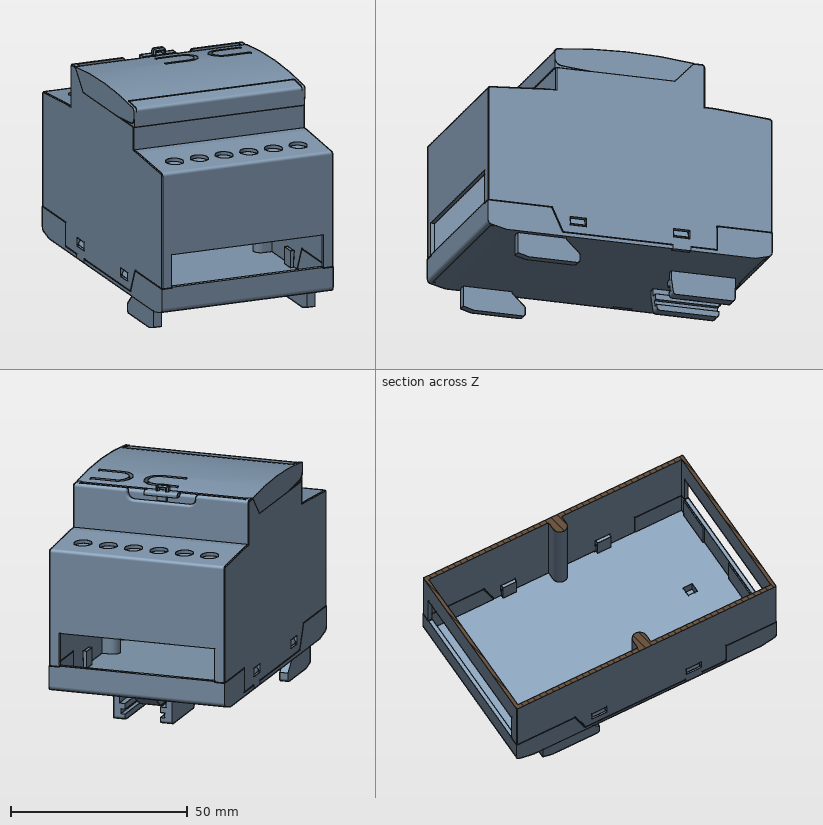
import cadquery as cq
import math

LENGTH = 85.0
WIDTH = 52.8
HALF_LENGTH = LENGTH / 2
HALF_WIDTH = WIDTH / 2
FOOT_DEPTH = 6.9
TOTAL_HEIGHT = 65.14
SIDE_WALL = 1.4
END_WALL = 1.2
INNER_HALF_WIDTH = HALF_WIDTH - SIDE_WALL
SEAM_GAP = 0.2
PICK_MARGIN = 0.1
OVERCUT = 1.0

FLOOR_TOP = 1.1
BASE_WALL_TOP = 8.2
SILL_TOP = 8.5
WINDOW_HALF_WIDTH = 23.4
WINDOW_TOP = 18.15
LEFT_WING_X = -26.1
RIGHT_WING_BOTTOM_X = 20.2
RIGHT_WING_TOP_X = 23.5
SLOPE_TOP = 1.3
LEFT_SLOPE_X = -37.5
RIGHT_SLOPE_X = 37.0
BASE_EDGE_RADIUS = 1.3

TAB_X_MIN = -18.2
TAB_X_MAX = -12.8

SNAP_CENTRES_X = (-15.45, 15.45)
SNAP_LENGTH = 4.9
SNAP_BOTTOM = 3.6
SNAP_TOP = 6.1
HOOK_LENGTH = 4.4
HOOK_BOTTOM = 4.1
HOOK_REACH = 1.2
HOOK_TONGUE = 1.0
HOOK_ROOT = FLOOR_TOP / 2

GUIDE_X_MIN = -37.5
GUIDE_X_MAX = -18.4
GUIDE_TOE_X = -19.1
GUIDE_TAPER_TOP = -FOOT_DEPTH / 3
GUIDE_OUTER_Y = 8.8
GUIDE_INNER_Y = 5.3
GUIDE_NECK_Y = 7.05
GUIDE_NOTCH_Y = 6.6
GUIDE_NECK_Z = -2.1
GUIDE_NOTCH_TOP = -3.75
GUIDE_NOTCH_BOTTOM = -5.2
RAIL_HOOK_X_MIN = 14.5
RAIL_HOOK_X_MAX = 33.1
RAIL_HOOK_INNER_Y = 22.4
RAIL_HOOK_WIDTH = 2.5
RAIL_HOOK_LIP_RUN = 4.0
RAIL_HOOK_LIP_TOP = -0.4
RAIL_HOOK_LIP_BOTTOM = -4.2
RAIL_HOOK_HEEL_RUN = 3.2
RAIL_HOOK_HEEL_RISE = 0.9
FOOT_EDGE_RADIUS = 0.9

RAMP_WIDTH = 6.4
RAMP_DEPTH = 3.5
RAMP_START_X = -36.5
RAMP_FOOT_X = -31.4
RAMP_END_X = -26.0
RAMP_HOLE_X = -29.6
RAMP_HOLE_SIZE = 3.0
RAMP_HOLE_DEPTH = 2.7

RIB_SPANS = ((2.0, 23.2), (-23.2, -12.2))
RIB_THICKNESS = 0.4
RIB_DROP = 0.3

SHOULDER_EDGE_Z = 42.4
SHOULDER_TOP_Z = 43.7
SHOULDER_BEND_X = 25.1
SHOULDER_RADIUS = 0.9
SHOULDER_THICKNESS = 2.0
TOWER_LEFT_X = -22.4
TOWER_RIGHT_X = 22.2
TOWER_FRONT_WALL = 1.35
DECK_TOP = 50.4
DECK_THICKNESS = 1.5
TOWER_TOP = 56.45
TOWER_EDGE_RADIUS = 0.95
SIDE_EDGE_CHAMFER = 0.25

SCREW_HOLE_DIAMETER = 5.1
SCREW_HOLE_DEPTH = 1.0
SCREW_HOLE_PITCH = 7.62
SCREW_HOLE_COUNT = 6
SCREW_HOLE_X = 34.55

SCOOP_HALF_WIDTH = 10.2
SCOOP_BOTTOM = 53.4
SCOOP_RADIUS = 2.0
SCOOP_EDGE_ROUND = 0.75

POST_X = 0.0
POST_Y = 22.5
POST_RADIUS = 2.2

FLAP_GAP = 0.25
COVER_FRONT_X = TOWER_LEFT_X + TOWER_FRONT_WALL + FLAP_GAP
COVER_RIGHT_X = 22.5
COVER_CORNER_X = -19.1
COVER_SLANT_X = -13.4
COVER_APEX_Z = 57.55
COVER_EDGE_Z = 56.4
COVER_WALL = 1.5
COVER_FRONT_HALF_WIDTH = 24.9
FLAP_DROP = 0.35
FLAP_STEP_X = -19.4
COVER_EDGE_RADIUS = 0.9
CROWN_RISE = COVER_APEX_Z - COVER_EDGE_Z
CROWN_RADIUS = (COVER_CORNER_X ** 2 + CROWN_RISE ** 2) / (2 * CROWN_RISE)

U_CENTRE_X = -12.65
U_OUTER_RADIUS = 4.05
U_SLOT_WIDTH = 1.1
U_SPANS = ((12.1, 23.4), (8.3, -2.9))

GRIP_X_MIN = 16.8
GRIP_HALF_WIDTH = 25.5
GRIP_DEPTH = 0.2

RELIEF_DEPTH = 0.15
RELIEF_START_X = 11.8
RELIEF_BEND_X = 20.2
RELIEF_BEND_Z = 51.1
RELIEF_END_Z = 52.8

LATCH_LEFT_X = -22.7
LATCH_HALF_WIDTH = 5.0
LATCH_TOP = 56.5
LATCH_BOTTOM = 55.3
LATCH_EDGE_RADIUS = 0.7
STEM_HALF_WIDTH = 1.4
STEM_BOTTOM = 53.8
STEM_LEFT_X = -21.9
EYE_X_MIN = -21.7
EYE_X_MAX = -19.7
EYE_HALF_WIDTH = 1.85
EYE_TOP = TOTAL_HEIGHT - FOOT_DEPTH
EYE_RADIUS = 0.8
EYE_BEVEL = 0.4
EYE_HOLE_HALF_WIDTH = 1.2
EYE_HOLE_TOP = 57.6


def block(x_min, x_max, y_min, y_max, z_min, z_max):
    size = (x_max - x_min, y_max - y_min, z_max - z_min)
    return cq.Workplane("XY").box(*size, centered=False).translate((x_min, y_min, z_min))


def side_profile(points):
    return cq.Workplane("XZ").polyline(points).close()


def across(profile, y_min, y_max):
    """Extrude an XZ profile from y_min to y_max."""
    return profile.extrude(y_min - y_max).translate((0, y_min, 0))


def both_sides(shape):
    """The shape together with its mirror image about the XZ plane."""
    return (shape, shape.mirror("XZ"))


def crown_z(x, inset=0.0):
    """Height of the cover crown at x, lowered radially by inset."""
    radius = CROWN_RADIUS - inset
    return COVER_APEX_Z - CROWN_RADIUS + math.sqrt(radius ** 2 - x ** 2)


def base_tray():
    outline = [
        (-HALF_LENGTH, SLOPE_TOP),
        (LEFT_SLOPE_X, 0),
        (RIGHT_SLOPE_X, 0),
        (HALF_LENGTH, SLOPE_TOP),
        (HALF_LENGTH, BASE_WALL_TOP),
        (RIGHT_WING_TOP_X, BASE_WALL_TOP),
        (RIGHT_WING_BOTTOM_X, FLOOR_TOP),
        (LEFT_WING_X, FLOOR_TOP),
        (LEFT_WING_X, BASE_WALL_TOP),
        (-HALF_LENGTH, BASE_WALL_TOP),
    ]
    tray = across(side_profile(outline), -HALF_WIDTH, HALF_WIDTH)
    bottom_corners = cq.selectors.BoxSelector(
        (-LENGTH, -WIDTH, SLOPE_TOP - PICK_MARGIN), (LENGTH, WIDTH, SLOPE_TOP + PICK_MARGIN)
    )
    tray = tray.edges("|Y").edges(bottom_corners).fillet(BASE_EDGE_RADIUS)
    inner_x = HALF_LENGTH - END_WALL
    tray = tray.cut(
        block(-inner_x, inner_x, -INNER_HALF_WIDTH, INNER_HALF_WIDTH, FLOOR_TOP, BASE_WALL_TOP + OVERCUT)
    )
    sill_half_width = WINDOW_HALF_WIDTH - SEAM_GAP / 2
    for x_min in (-HALF_LENGTH, inner_x):
        sill = block(x_min, x_min + END_WALL, -sill_half_width, sill_half_width, BASE_WALL_TOP, SILL_TOP)
        tray = tray.union(sill)
    for y_min, y_max in RIB_SPANS:
        rib = block(-inner_x, RIB_THICKNESS - inner_x, y_min, y_max, FLOOR_TOP, SILL_TOP - RIB_DROP)
        tray = tray.union(rib)
    notch = block(TAB_X_MIN, TAB_X_MAX, -HALF_WIDTH, -INNER_HALF_WIDTH, 0, FLOOR_TOP)
    for side in both_sides(notch):
        tray = tray.cut(side)
    return tray


def snap_hook(centre_x):
    """Tongue on the floor with a wedge that reaches out into the housing window (-Y side)."""
    section = [
        (-INNER_HALF_WIDTH + HOOK_TONGUE, HOOK_ROOT),
        (-INNER_HALF_WIDTH + HOOK_TONGUE, SNAP_TOP),
        (-INNER_HALF_WIDTH, SNAP_TOP),
        (-INNER_HALF_WIDTH - HOOK_REACH, HOOK_BOTTOM),
        (-INNER_HALF_WIDTH, HOOK_BOTTOM),
        (-INNER_HALF_WIDTH, HOOK_ROOT),
    ]
    hook = cq.Workplane("YZ").polyline(section).close().extrude(HOOK_LENGTH)
    return hook.translate((centre_x - HOOK_LENGTH / 2, 0, 0))


def rail_guide():
    """Hooked guide rail on the -Y side of the centre line."""
    section = [
        (-GUIDE_OUTER_Y, 0),
        (-GUIDE_NECK_Y, 0),
        (-GUIDE_NECK_Y, GUIDE_NECK_Z),
        (-GUIDE_INNER_Y, GUIDE_NECK_Z),
        (-GUIDE_INNER_Y, GUIDE_NOTCH_TOP),
        (-GUIDE_NOTCH_Y, GUIDE_NOTCH_TOP),
        (-GUIDE_NOTCH_Y, GUIDE_NOTCH_BOTTOM),
        (-GUIDE_INNER_Y, GUIDE_NOTCH_BOTTOM),
        (-GUIDE_INNER_Y, -FOOT_DEPTH),
        (-GUIDE_OUTER_Y, -FOOT_DEPTH),
    ]
    rail = cq.Workplane("YZ").polyline(section).close().extrude(GUIDE_X_MAX - GUIDE_X_MIN)
    rail = rail.translate((GUIDE_X_MIN, 0, 0))
    outline = [
        (GUIDE_X_MIN, 0),
        (GUIDE_X_MAX, 0),
        (GUIDE_X_MAX, GUIDE_TAPER_TOP),
        (GUIDE_TOE_X, -FOOT_DEPTH),
        (GUIDE_X_MIN, -FOOT_DEPTH),
    ]
    envelope = across(side_profile(outline), -GUIDE_OUTER_Y, 0)
    envelope = envelope.edges("|Y").edges("<Z").fillet(FOOT_EDGE_RADIUS)
    return rail.intersect(envelope)


def rail_hook():
    """Fixed rail hook on the -Y side."""
    outline = [
        (RAIL_HOOK_X_MIN + RAIL_HOOK_LIP_RUN, 0),
        (RAIL_HOOK_X_MIN + RAIL_HOOK_LIP_RUN, RAIL_HOOK_LIP_TOP),
        (RAIL_HOOK_X_MIN, RAIL_HOOK_LIP_BOTTOM),
        (RAIL_HOOK_X_MIN, -FOOT_DEPTH),
        (RAIL_HOOK_X_MAX - RAIL_HOOK_HEEL_RUN, -FOOT_DEPTH),
        (RAIL_HOOK_X_MAX, RAIL_HOOK_HEEL_RISE - FOOT_DEPTH),
        (RAIL_HOOK_X_MAX, 0),
    ]
    outer_y = RAIL_HOOK_INNER_Y + RAIL_HOOK_WIDTH
    hook = across(side_profile(outline), -outer_y, -RAIL_HOOK_INNER_Y)
    return hook.edges("|Y").edges("<Z").edges("<X").fillet(FOOT_EDGE_RADIUS)


def latch_ramp():
    outline = [
        (RAMP_START_X, 0),
        (RAMP_FOOT_X, -RAMP_DEPTH),
        (RAMP_END_X, -RAMP_DEPTH),
        (RAMP_END_X, 0),
    ]
    return across(side_profile(outline), -RAMP_WIDTH / 2, RAMP_WIDTH / 2)


def make_base():
    base = base_tray()
    feet = [rail_guide(), rail_hook()]
    hooks = [snap_hook(x) for x in SNAP_CENTRES_X]
    for feature in feet + hooks:
        for side in both_sides(feature):
            base = base.union(side)
    base = base.union(latch_ramp())
    half_hole = RAMP_HOLE_SIZE / 2
    ramp_hole = block(
        RAMP_HOLE_X - half_hole, RAMP_HOLE_X + half_hole, -half_hole, half_hole,
        FLOOR_TOP - RAMP_HOLE_DEPTH, FLOOR_TOP + OVERCUT,
    )
    return base.cut(ramp_hole)


def housing_shell():
    bottom = BASE_WALL_TOP + SEAM_GAP
    floor = FLOOR_TOP + SEAM_GAP
    outline = [
        (-HALF_LENGTH, bottom),
        (LEFT_WING_X + SEAM_GAP, bottom),
        (LEFT_WING_X + SEAM_GAP, floor),
        (RIGHT_WING_BOTTOM_X - SEAM_GAP, floor),
        (RIGHT_WING_TOP_X - SEAM_GAP, bottom),
        (HALF_LENGTH, bottom),
        (HALF_LENGTH, SHOULDER_EDGE_Z),
        (SHOULDER_BEND_X, SHOULDER_TOP_Z),
        (TOWER_RIGHT_X, SHOULDER_TOP_Z),
        (TOWER_RIGHT_X, DECK_TOP),
        (COVER_SLANT_X, DECK_TOP),
        (COVER_CORNER_X, COVER_EDGE_Z),
        (TOWER_LEFT_X, TOWER_TOP),
        (TOWER_LEFT_X, SHOULDER_TOP_Z),
        (-SHOULDER_BEND_X, SHOULDER_TOP_Z),
        (-HALF_LENGTH, SHOULDER_EDGE_Z),
    ]
    shell = across(side_profile(outline), -HALF_WIDTH, HALF_WIDTH)
    shoulder_corners = cq.selectors.BoxSelector(
        (-LENGTH, -WIDTH, SHOULDER_EDGE_Z - PICK_MARGIN), (LENGTH, WIDTH, SHOULDER_EDGE_Z + PICK_MARGIN)
    )
    shell = shell.edges("|Y").edges(shoulder_corners).fillet(SHOULDER_RADIUS)
    tower_corner = cq.selectors.NearestToPointSelector((TOWER_LEFT_X, 0, TOWER_TOP))
    shell = shell.edges("|Y").edges(tower_corner).fillet(TOWER_EDGE_RADIUS)

    inner_x = HALF_LENGTH - END_WALL
    ceiling = SHOULDER_EDGE_Z - SHOULDER_THICKNESS
    cavity = block(-inner_x, inner_x, -INNER_HALF_WIDTH, INNER_HALF_WIDTH, 0, ceiling)
    tower_cavity = block(
        TOWER_LEFT_X + TOWER_FRONT_WALL, TOWER_RIGHT_X - SIDE_WALL, -INNER_HALF_WIDTH, INNER_HALF_WIDTH,
        0, DECK_TOP - DECK_THICKNESS,
    )
    cover_seat = block(
        TOWER_LEFT_X + TOWER_FRONT_WALL, TOWER_RIGHT_X, -COVER_FRONT_HALF_WIDTH, COVER_FRONT_HALF_WIDTH,
        DECK_TOP, TOWER_TOP + OVERCUT,
    )
    return shell.cut(cavity).cut(tower_cavity).cut(cover_seat)


def soften_side_edges(shell):
    """Small bevels where the side faces meet the shoulders and tower ends."""
    for y in (-HALF_WIDTH, HALF_WIDTH):
        for x, z in (
            (TOWER_LEFT_X, (SHOULDER_TOP_Z + TOWER_TOP) / 2),
            (TOWER_RIGHT_X, (SHOULDER_TOP_Z + DECK_TOP) / 2),
            (-SCREW_HOLE_X, (SHOULDER_EDGE_Z + SHOULDER_TOP_Z) / 2),
            (SCREW_HOLE_X, (SHOULDER_EDGE_Z + SHOULDER_TOP_Z) / 2),
        ):
            edge = cq.selectors.NearestToPointSelector((x, y, z))
            shell = shell.edges(edge).chamfer(SIDE_EDGE_CHAMFER)
    return shell


def screw_holes():
    slope = math.degrees(math.atan2(SHOULDER_TOP_Z - SHOULDER_EDGE_Z, HALF_LENGTH - SHOULDER_BEND_X))
    rise = math.tan(math.radians(slope))
    surface_z = SHOULDER_EDGE_Z + (HALF_LENGTH - SCREW_HOLE_X) * rise
    holes = []
    for end in (-1, 1):
        for index in range(SCREW_HOLE_COUNT):
            y = (index - (SCREW_HOLE_COUNT - 1) / 2) * SCREW_HOLE_PITCH
            hole = cq.Workplane("XY").circle(SCREW_HOLE_DIAMETER / 2).extrude(SCREW_HOLE_DEPTH + OVERCUT)
            hole = hole.translate((0, 0, -SCREW_HOLE_DEPTH)).rotate((0, 0, 0), (0, 1, 0), end * slope)
            holes.append(hole.translate((end * SCREW_HOLE_X, y, surface_z)))
    return holes


def cut_scoop(shell):
    """Round-cornered opening through the top of the tower front wall, with a rounded rim."""
    height = 2 * (TOWER_TOP - SCOOP_BOTTOM)
    opening = (
        cq.Workplane("YZ")
        .rect(2 * SCOOP_HALF_WIDTH, height)
        .extrude(TOWER_FRONT_WALL + OVERCUT)
        .edges("|X").fillet(SCOOP_RADIUS)
        .translate((TOWER_LEFT_X - OVERCUT, 0, TOWER_TOP))
    )
    rim = cq.selectors.BoxSelector(
        (TOWER_LEFT_X - PICK_MARGIN, -SCOOP_HALF_WIDTH - PICK_MARGIN, SCOOP_BOTTOM - PICK_MARGIN),
        (TOWER_LEFT_X + PICK_MARGIN, SCOOP_HALF_WIDTH + PICK_MARGIN, TOWER_TOP - TOWER_EDGE_RADIUS),
    )
    return shell.cut(opening).edges(rim).fillet(SCOOP_EDGE_ROUND)


def support_post():
    """Round post from deck to floor, webbed to the -Y side wall."""
    bottom = FLOOR_TOP + SEAM_GAP
    top = DECK_TOP - DECK_THICKNESS
    post = cq.Workplane("XY").circle(POST_RADIUS).extrude(top - bottom).translate((POST_X, -POST_Y, bottom))
    web = block(POST_X - POST_RADIUS, POST_X + POST_RADIUS, -INNER_HALF_WIDTH, -POST_Y, bottom, top)
    return post.union(web)


def make_housing():
    housing = cut_scoop(soften_side_edges(housing_shell()))
    for hole in screw_holes():
        housing = housing.cut(hole)
    housing = housing.cut(
        block(-LENGTH, LENGTH, -WINDOW_HALF_WIDTH, WINDOW_HALF_WIDTH, BASE_WALL_TOP, WINDOW_TOP)
    )
    tab = block(TAB_X_MIN, TAB_X_MAX, -HALF_WIDTH, -INNER_HALF_WIDTH, 0, SNAP_BOTTOM)
    for added in (tab, support_post()):
        for side in both_sides(added):
            housing = housing.union(side)
    for x in SNAP_CENTRES_X:
        window = block(
            x - SNAP_LENGTH / 2, x + SNAP_LENGTH / 2,
            -HALF_WIDTH - OVERCUT, -INNER_HALF_WIDTH, SNAP_BOTTOM, SNAP_TOP,
        )
        for side in both_sides(window):
            housing = housing.cut(side)
    return housing


def crown_profile(x_min, x_max, bottom_x, z_bottom, inset=0.0):
    """Profile under the crown; its left side runs from (bottom_x, z_bottom) up to x_min."""
    mid_x = (x_min + x_max) / 2
    return (
        cq.Workplane("XZ")
        .moveTo(bottom_x, z_bottom)
        .lineTo(x_min, crown_z(x_min, inset))
        .threePointArc((mid_x, crown_z(mid_x, inset)), (x_max, crown_z(x_max, inset)))
        .lineTo(x_max, z_bottom)
        .close()
    )


def round_crown_end(section, x, inset=0.0):
    """Round the edge where the crown meets the end face at x."""
    corner = cq.selectors.NearestToPointSelector((x, 0, crown_z(x, inset)))
    return section.edges("|Y").edges(corner).fillet(COVER_EDGE_RADIUS)


def cover_shell():
    full = crown_profile(COVER_CORNER_X, COVER_RIGHT_X, COVER_SLANT_X, DECK_TOP)
    shell = round_crown_end(across(full, -HALF_WIDTH, HALF_WIDTH), COVER_RIGHT_X)

    def front_section(x_min, inset):
        section = crown_profile(x_min, 0, x_min, DECK_TOP, inset)
        return across(section, -COVER_FRONT_HALF_WIDTH, COVER_FRONT_HALF_WIDTH)

    flap = round_crown_end(front_section(COVER_FRONT_X, FLAP_DROP), COVER_FRONT_X, FLAP_DROP)
    shell = shell.union(flap).union(front_section(FLAP_STEP_X, 0))

    hollow_left = COVER_FRONT_X + COVER_WALL
    hollow = crown_profile(hollow_left, COVER_RIGHT_X - COVER_WALL, hollow_left, DECK_TOP, COVER_WALL)
    hollow_half_width = COVER_FRONT_HALF_WIDTH - COVER_WALL
    return shell.cut(across(hollow, -hollow_half_width, hollow_half_width))


def u_slot(round_y, open_y):
    """U-shaped slot that frees a push tongue."""
    direction = math.copysign(1, open_y - round_y)
    centre_y = round_y + direction * U_OUTER_RADIUS

    def tongue(radius):
        return (
            cq.Workplane("XY")
            .moveTo(U_CENTRE_X - radius, open_y)
            .lineTo(U_CENTRE_X - radius, centre_y)
            .threePointArc((U_CENTRE_X, centre_y - direction * radius), (U_CENTRE_X + radius, centre_y))
            .lineTo(U_CENTRE_X + radius, open_y)
            .close()
            .extrude(COVER_APEX_Z - DECK_TOP)
            .translate((0, 0, DECK_TOP))
        )

    return tongue(U_OUTER_RADIUS).cut(tongue(U_OUTER_RADIUS - U_SLOT_WIDTH))


def grip_recess():
    """Shallow band cut into the crown at its right end."""
    band = block(GRIP_X_MIN, COVER_RIGHT_X, -GRIP_HALF_WIDTH, GRIP_HALF_WIDTH, DECK_TOP, COVER_APEX_Z)
    kept = crown_profile(0, COVER_RIGHT_X, 0, DECK_TOP, GRIP_DEPTH)
    kept = across(kept, -HALF_WIDTH, HALF_WIDTH)
    return band.cut(round_crown_end(kept, COVER_RIGHT_X, GRIP_DEPTH))


def side_relief():
    """Shallow relief along the lower right edge of the -Y skirt."""
    middle_x = (RELIEF_BEND_X + 2 * COVER_RIGHT_X) / 3
    middle_z = (2 * RELIEF_BEND_Z + RELIEF_END_Z) / 3
    profile = (
        cq.Workplane("XZ")
        .moveTo(RELIEF_START_X, DECK_TOP)
        .lineTo(RELIEF_BEND_X, RELIEF_BEND_Z)
        .threePointArc((middle_x, middle_z), (COVER_RIGHT_X, RELIEF_END_Z))
        .lineTo(COVER_RIGHT_X, DECK_TOP)
        .close()
    )
    return across(profile, -HALF_WIDTH, RELIEF_DEPTH - HALF_WIDTH)


def latch():
    """Grip plate that reaches out through the scoop, with its stem and sealing eye."""
    root_x = COVER_FRONT_X + COVER_EDGE_RADIUS
    plate = block(LATCH_LEFT_X, root_x, -LATCH_HALF_WIDTH, LATCH_HALF_WIDTH, LATCH_BOTTOM, LATCH_TOP)
    plate = plate.edges("|Y").edges("<X").edges(">Z").fillet(LATCH_EDGE_RADIUS)
    stem = block(STEM_LEFT_X, root_x, -STEM_HALF_WIDTH, STEM_HALF_WIDTH, STEM_BOTTOM, LATCH_BOTTOM)
    eye = block(EYE_X_MIN, EYE_X_MAX, -EYE_HALF_WIDTH, EYE_HALF_WIDTH, LATCH_BOTTOM, EYE_TOP)
    eye = eye.edges("|X").edges(">Z").fillet(EYE_RADIUS)
    eye = eye.faces("<X or >X").edges("not <Z").chamfer(EYE_BEVEL)
    eye_hole = block(
        EYE_X_MIN, EYE_X_MAX, -EYE_HOLE_HALF_WIDTH, EYE_HOLE_HALF_WIDTH, LATCH_TOP, EYE_HOLE_TOP
    )
    return plate.union(stem).union(eye.cut(eye_hole))


def make_cover():
    cover = cover_shell()
    for round_y, open_y in U_SPANS:
        cover = cover.cut(u_slot(round_y, open_y))
    cover = cover.cut(grip_recess())
    for side in both_sides(side_relief()):
        cover = cover.cut(side)
    return cover.union(latch())


base = make_base()
housing = make_housing()
cover = make_cover()

result = cq.Compound.makeCompound([base.solids().val(), housing.solids().val(), cover.solids().val()])